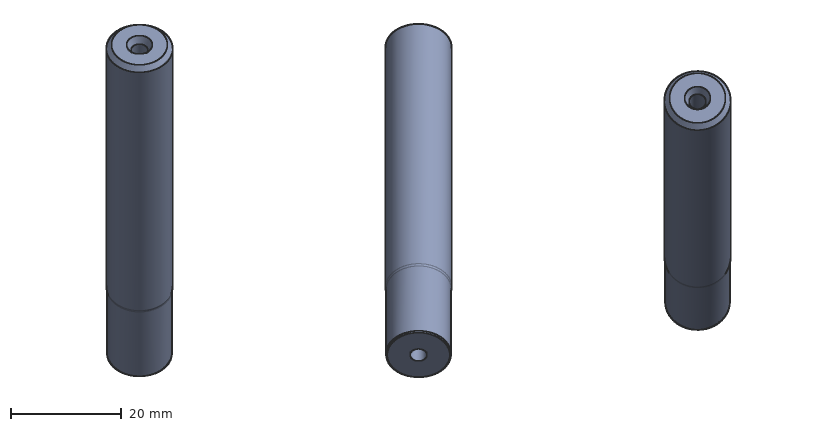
import cadquery as cq

length = 80.0
body_diameter = 12.0
top_chamfer = 1.0

lower_diameter = 11.8
lower_length = 17.0
step_height = 0.5
bottom_chamfer = 0.2

hole_diameter = 3.0
countersink_diameter = 4.6
countersink_angle = 60.0

body_radius = body_diameter / 2
lower_radius = lower_diameter / 2


def make_rod():
    """Revolve the stepped, chamfered half profile about Z."""
    return (
        cq.Workplane("XZ")
        .moveTo(0, 0)
        .lineTo(lower_radius - bottom_chamfer, 0)
        .lineTo(lower_radius, bottom_chamfer)
        .lineTo(lower_radius, lower_length)
        .lineTo(body_radius, lower_length + step_height)
        .lineTo(body_radius, length - top_chamfer)
        .lineTo(body_radius - top_chamfer, length)
        .lineTo(0, length)
        .close()
        .revolve(360, (0, 0, 0), (0, 1, 0))
    )


def drill_axial_hole(rod):
    """Drill the countersunk hole down the full length of the rod."""
    return (
        rod.faces(">Z")
        .workplane()
        .cskHole(hole_diameter, countersink_diameter, countersink_angle)
    )


result = drill_axial_hole(make_rod())